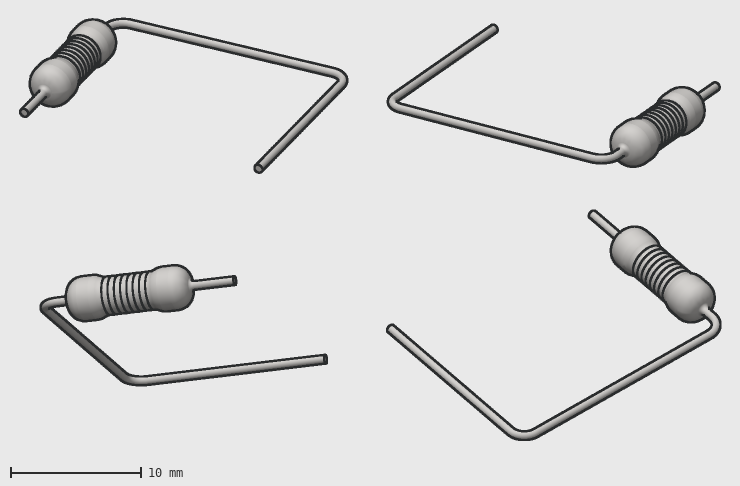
import cadquery as cq
import math

wire_dia = 0.7
wire_radius = wire_dia / 2
lead_pitch = 20.0
bend_radius = 1.4
short_lead_length = 3.6
crossbar_gap = 2.4

body_length = 10.0
cap_radius = 3.5 / 2
band_radius = 3.0 / 2
groove_radius = 2.98 / 2
dome_radius = 1.23
neck_fillet = 0.35
band_count = 4
banded_length = 3.6
shoulder_length = 1.02

half_body = body_length / 2
half_banded = banded_length / 2
tip_y = -(half_body + short_lead_length)
crossbar_y = half_body + crossbar_gap


def on_circle(center, radius, degrees):
    """Point on a circle in the XY plane, angle measured from +X."""
    angle = math.radians(degrees)
    return (center[0] + radius * math.cos(angle), center[1] + radius * math.sin(angle))


def make_end():
    """Cap at the +Y end: shoulder, cylinder, dome and the neck blending into the wire."""
    shoulder_rise = (cap_radius - groove_radius) / 2
    shoulder_run = shoulder_length / 2
    shoulder_arc = (shoulder_rise**2 + shoulder_run**2) / (2 * shoulder_rise)
    half_sweep = math.degrees(math.asin(shoulder_run / shoulder_arc)) / 2
    concave_center = (groove_radius + shoulder_arc, half_banded)
    convex_center = (cap_radius - shoulder_arc, half_banded + shoulder_length)
    concave_mid = on_circle(concave_center, shoulder_arc, 180 - half_sweep)
    convex_mid = on_circle(convex_center, shoulder_arc, -half_sweep)
    shoulder_mid = (groove_radius + shoulder_rise, half_banded + shoulder_run)
    cap_start = (cap_radius, half_banded + shoulder_length)

    dome_center = (cap_radius - dome_radius, half_body - dome_radius)

    neck_x = wire_radius + neck_fillet
    center_distance = dome_radius + neck_fillet
    neck_lean = math.degrees(math.acos((neck_x - dome_center[0]) / center_distance))
    neck_center = on_circle(dome_center, center_distance, neck_lean)
    neck_y = neck_center[1]
    dome_end = on_circle(dome_center, dome_radius, neck_lean)
    dome_mid = on_circle(dome_center, dome_radius, neck_lean / 2)
    neck_mid = on_circle(neck_center, neck_fillet, 180 + neck_lean / 2)

    return (
        cq.Workplane("XY")
        .moveTo(0, half_banded)
        .lineTo(groove_radius, half_banded)
        .threePointArc(concave_mid, shoulder_mid)
        .threePointArc(convex_mid, cap_start)
        .lineTo(cap_radius, dome_center[1])
        .threePointArc(dome_mid, dome_end)
        .threePointArc(neck_mid, (wire_radius, neck_y))
        .lineTo(0, neck_y)
        .close()
        .revolve(360, (0, 0, 0), (0, 1, 0))
    )


def make_disc(radius, start_y, length):
    """Cylinder about the Y axis, growing toward +Y."""
    return cq.Workplane("XZ", origin=(0, start_y, 0)).circle(radius).extrude(-length)


def make_banded_middle():
    """Raised bands alternating with shallow grooves; a band at each end."""
    segment_count = 2 * band_count - 1
    segment_length = banded_length / segment_count
    middle = make_disc(groove_radius, -half_banded, banded_length)
    for band in range(band_count):
        band_y = -half_banded + 2 * band * segment_length
        middle = middle.union(make_disc(band_radius, band_y, segment_length))
    return middle


def make_wire():
    """One bent wire: through the body, across in +X and back to the tip level."""
    bend_y = crossbar_y - bend_radius
    first_bend_x = bend_radius
    second_bend_x = lead_pitch - bend_radius
    first_bend_mid = on_circle((first_bend_x, bend_y), bend_radius, 135)
    second_bend_mid = on_circle((second_bend_x, bend_y), bend_radius, 45)
    path = (
        cq.Workplane("XY")
        .moveTo(0, tip_y)
        .lineTo(0, bend_y)
        .threePointArc(first_bend_mid, (first_bend_x, crossbar_y))
        .lineTo(second_bend_x, crossbar_y)
        .threePointArc(second_bend_mid, (lead_pitch, bend_y))
        .lineTo(lead_pitch, tip_y)
    )
    return cq.Workplane("XZ", origin=(0, tip_y, 0)).circle(wire_radius).sweep(path)


body_end = make_end()
body = make_banded_middle().union(body_end).union(body_end.mirror("XZ"))
result = body.union(make_wire())